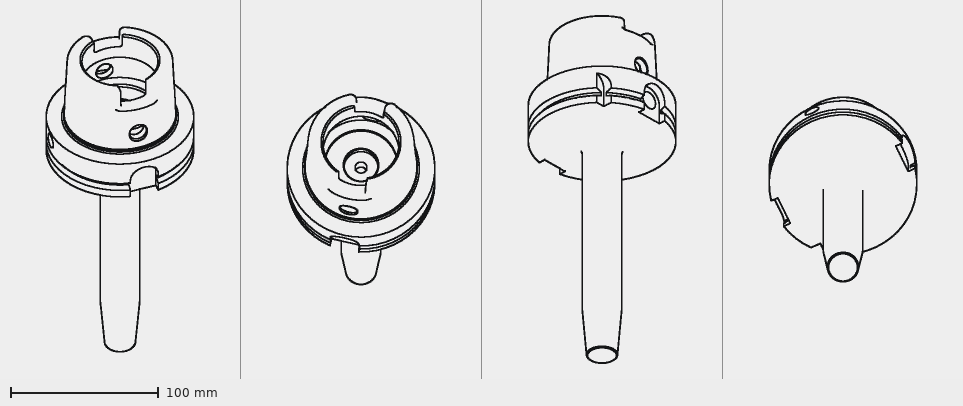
import cadquery as cq
import math


overall_length = 250.0

taper_height = 50.0
taper_top_radius = 35.7
taper_base_radius = 38.0
rim_round = 1.7

foot_radius = 38.2
foot_height = 3.0
foot_top_ledge = 0.5
foot_top_chamfer = 1.0
foot_flare = 1.2
foot_flare_height = 0.7

flange_radius = 50.0
flange_height = 29.0
groove_floor_radius = 46.5
groove_middle = -20.2
groove_floor_width = 2.5
groove_mouth_width = 6.0

stem_radius = 13.5
stem_fillet = 10.0
nose_length = 37.5
nose_angle = 4.5
nose_tip_chamfer = 0.7

bore_radius = 25.7
mouth_chamfer = 1.2
clamp_shoulder = 30.7
clamp_radius = 31.5
clamp_cone_angle = 60.0
clamp_floor = 8.0
lower_bore_radius = 24.5
bore_floor = 5.5
tube_seat_radius = 11.5
tube_seat_depth = 5.0
tube_seat_chamfer = 0.5
coolant_radius = 4.0
coolant_depth = 10.0

drive_slot_width = 20.0
shallow_slot_depth = 10.0
deep_slot_depth = 14.7
drive_corner_radius = 4.0
drive_floor_fillet = 2.0

wall_hole_radius = 6.0
wall_hole_mouth_radius = 7.0
wall_hole_height = 15.2

keyway_radius = 10.0
keyway_centre = -15.0
keyway_floor = 44.0
notch_floor = 31.7
notch_offset = 41.7
keyway_hole_radius = 6.2
keyway_hole_depth = 10.0

chip_hole_radius = 5.0
chip_hole_centre = -7.2
chip_hole_depth = 5.5
pilot_radius = 0.7
pilot_depth = 1.2

drill_point_angle = 118.0

edge_reach = 4.2

tip_z = taper_height - overall_length
flange_bottom = -flange_height
pilot_core_radius = lower_bore_radius - mouth_chamfer


def revolve_about_z(outline):
    """Solid of revolution from (radius, z) points."""
    return cq.Workplane("XZ").polyline(outline).close().revolve(360, (0, 0), (0, 1))


def drill(radius, depth):
    """Blind drilled hole from z = 0 down, with a conical point."""
    point = radius / math.tan(math.radians(drill_point_angle / 2))
    return revolve_about_z([(0, 0), (radius, 0), (radius, -depth), (0, -depth - point)])


def edges_near(x, y, z):
    """Selector for edges whose centre lies within edge_reach of a point along every axis."""
    low = (x - edge_reach, y - edge_reach, z - edge_reach)
    high = (x + edge_reach, y + edge_reach, z + edge_reach)
    return cq.selectors.BoxSelector(low, high)


def make_body():
    """Turned outline of foot ring, flange, stem and nose."""
    tip_radius = stem_radius - nose_length * math.tan(math.radians(nose_angle))
    fillet_r = stem_radius + stem_fillet
    fillet_z = flange_bottom - stem_fillet
    diagonal = stem_fillet * math.sqrt(0.5)
    return (
        cq.Workplane("XZ")
        .moveTo(0, tip_z)
        .lineTo(tip_radius - nose_tip_chamfer, tip_z)
        .lineTo(tip_radius, tip_z + nose_tip_chamfer)
        .lineTo(stem_radius, tip_z + nose_length)
        .lineTo(stem_radius, fillet_z)
        .threePointArc((fillet_r - diagonal, fillet_z + diagonal), (fillet_r, flange_bottom))
        .lineTo(flange_radius, flange_bottom)
        .lineTo(flange_radius, groove_middle - groove_mouth_width / 2)
        .lineTo(groove_floor_radius, groove_middle - groove_floor_width / 2)
        .lineTo(groove_floor_radius, groove_middle + groove_floor_width / 2)
        .lineTo(flange_radius, groove_middle + groove_mouth_width / 2)
        .lineTo(flange_radius, 0)
        .lineTo(foot_radius + foot_flare, 0)
        .lineTo(foot_radius, foot_flare_height)
        .lineTo(foot_radius, foot_height - foot_top_chamfer)
        .lineTo(foot_radius - foot_top_ledge, foot_height)
        .lineTo(0, foot_height)
        .close()
        .revolve(360, (0, 0), (0, 1))
    )


def make_taper():
    """Taper with a narrow core hole, its two drive slots and the rounded rim."""
    taper = revolve_about_z(
        [(0, 0), (taper_base_radius, 0), (taper_top_radius, taper_height), (0, taper_height)]
    )
    core = cq.Workplane("XY").workplane(offset=bore_floor).circle(pilot_core_radius).extrude(taper_height)
    taper = taper.cut(core)

    half_width = drive_slot_width / 2
    for side, depth in ((-1, shallow_slot_depth), (1, deep_slot_depth)):
        floor_z = taper_height - depth
        slot = cq.Workplane("XY").box(flange_radius, drive_slot_width, depth, centered=(True, True, False))
        taper = taper.cut(slot.translate((side * flange_radius / 2, 0, floor_z)))
        for flank in (-1, 1):
            outer_corner = edges_near(side * taper_top_radius, flank * half_width, floor_z + depth / 2)
            taper = taper.edges(outer_corner).fillet(drive_corner_radius)
            floor_corner = edges_near(side * lower_bore_radius, flank * half_width, floor_z)
            taper = taper.edges(floor_corner).fillet(drive_floor_fillet)

    core_arcs = cq.selectors.SumSelector(
        edges_near(0, -pilot_core_radius, taper_height),
        edges_near(0, pilot_core_radius, taper_height),
    )
    rim = taper.faces(">Z").edges().edges(cq.selectors.InverseSelector(core_arcs))
    return rim.fillet(rim_round)


def make_bore():
    """Bore mouth, undercut for the clamping claws, lower bore and coolant tube seat."""
    clamp_cone_height = (clamp_radius - bore_radius) / math.tan(math.radians(clamp_cone_angle))
    seat_z = bore_floor - tube_seat_depth
    bore = revolve_about_z([
        (0, taper_height),
        (bore_radius + mouth_chamfer, taper_height),
        (bore_radius, taper_height - mouth_chamfer),
        (bore_radius, clamp_shoulder),
        (clamp_radius, clamp_shoulder - clamp_cone_height),
        (clamp_radius, clamp_floor),
        (lower_bore_radius, clamp_floor),
        (lower_bore_radius, bore_floor),
        (tube_seat_radius + tube_seat_chamfer, bore_floor),
        (tube_seat_radius, bore_floor - tube_seat_chamfer),
        (tube_seat_radius, seat_z),
        (0, seat_z),
    ])
    return bore.union(drill(coolant_radius, coolant_depth).translate((0, 0, seat_z)))


def make_wall_hole(side):
    """Hole along X through one side of the taper wall, countersunk on the outside."""
    slope = (taper_base_radius - taper_top_radius) / taper_height
    wall_x = taper_base_radius - slope * wall_hole_height
    sink_x = wall_x - (wall_hole_mouth_radius - wall_hole_radius)
    outline = [
        (0, 0),
        (0, wall_hole_radius),
        (side * sink_x, wall_hole_radius),
        (side * wall_x, wall_hole_mouth_radius),
        (side * flange_radius, wall_hole_mouth_radius),
        (side * flange_radius, 0),
    ]
    hole = cq.Workplane("XY").polyline(outline).close().revolve(360, (0, 0), (1, 0))
    return hole.translate((0, 0, wall_hole_height))


def make_arched_cut(side, floor, centre_y):
    """Cutter for a recess facing X: flat floor, round top, open at the flange bottom."""
    round_top = cq.Workplane("YZ").circle(keyway_radius).extrude(side * flange_radius)
    legs = cq.Workplane("YZ").rect(2 * keyway_radius, flange_height).extrude(side * flange_radius)
    cutter = round_top.union(legs.translate((0, 0, -flange_height / 2)))
    return cutter.translate((side * floor, centre_y, keyway_centre))


def make_keyway_hole():
    """Drilled hole in the floor of the -X keyway."""
    hole = drill(keyway_hole_radius, keyway_hole_depth).rotate((0, 0, 0), (0, 1, 0), -90)
    return hole.translate((-keyway_floor, 0, keyway_centre))


def make_chip_hole():
    """Flat-bottomed hole on the -Y side with a small pilot in its floor."""
    floor_plane = cq.Workplane("XZ", origin=(0, chip_hole_depth - flange_radius, chip_hole_centre))
    hole = floor_plane.circle(chip_hole_radius).extrude(2 * chip_hole_depth)
    return hole.union(floor_plane.circle(pilot_radius).extrude(-pilot_depth))


result = make_body()
for side in (-1, 1):
    result = result.cut(make_arched_cut(side, keyway_floor, 0))
result = result.cut(make_arched_cut(-1, notch_floor, notch_offset))
result = result.cut(make_keyway_hole())
result = result.cut(make_chip_hole())
result = result.union(make_taper())
result = result.cut(make_bore())
for side in (-1, 1):
    result = result.cut(make_wall_hole(side))